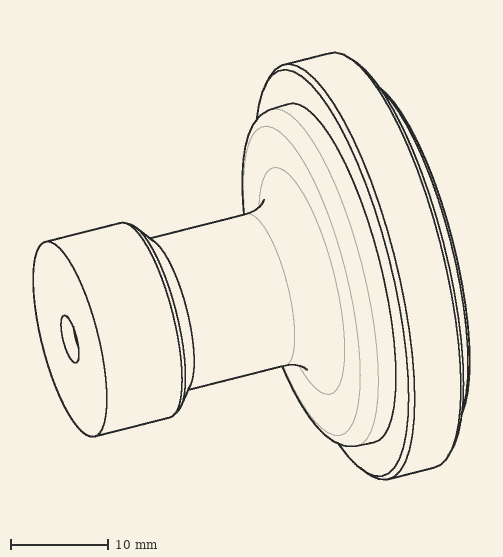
import cadquery as cq
import math

foot_rim_y = 8.3
cone_start_y = 8.8
neck_start_y = 10.55
collar_front_y = 25.6
disc_front_y = 28.95
disc_back_y = 35.02
dome_edge_y = 36.95
total_length = 38.3

foot_radius = 10.35
neck_radius = 8.05
collar_face_radius = 16.35
disc_radius = 22.0
dome_radius = 18.75

foot_rim_inset = 0.25
neck_fillet = 3.95
collar_fillet = 1.5
collar_draft_angle = 3.0
disc_chamfer = 0.5
dome_chamfer = 0.35

hole_mouth_radius = 2.5
hole_radius = 1.7
countersink_depth = 1.1
hole_depth = 5.3
drill_tip_angle = 118.0


def fillet_point(centre_x, centre_y, radius, angle_degrees):
    """Point on a corner arc at the given angle from +X."""
    angle = math.radians(angle_degrees)
    return (centre_x + radius * math.cos(angle), centre_y + radius * math.sin(angle))


def revolve_about_y(profile):
    return profile.close().revolve(360, (0, 0, 0), (0, 1, 0))


def make_body():
    neck_arc_x = neck_radius + neck_fillet
    neck_arc_y = collar_front_y - neck_fillet
    collar_arc_y = collar_front_y + collar_fillet
    collar_wall_x, collar_wall_y = fillet_point(
        collar_face_radius, collar_arc_y, collar_fillet, -collar_draft_angle
    )
    collar_draft = math.tan(math.radians(collar_draft_angle))
    collar_root_radius = collar_wall_x + (disc_front_y - collar_wall_y) * collar_draft
    cap_radius = dome_radius - dome_chamfer
    cap_height = total_length - dome_edge_y
    sphere_radius = (cap_radius**2 + cap_height**2) / (2 * cap_height)
    mid_x = cap_radius / 2
    mid_y = total_length - sphere_radius + math.sqrt(sphere_radius**2 - mid_x**2)
    profile = (
        cq.Workplane("XY")
        .lineTo(foot_radius, 0)
        .lineTo(foot_radius, foot_rim_y)
        .lineTo(foot_radius - foot_rim_inset, cone_start_y)
        .lineTo(neck_radius, neck_start_y)
        .lineTo(neck_radius, neck_arc_y)
        .threePointArc(
            fillet_point(neck_arc_x, neck_arc_y, neck_fillet, 135),
            (neck_arc_x, collar_front_y),
        )
        .lineTo(collar_face_radius, collar_front_y)
        .threePointArc(
            fillet_point(collar_face_radius, collar_arc_y, collar_fillet, -45),
            (collar_wall_x, collar_wall_y),
        )
        .lineTo(collar_root_radius, disc_front_y)
        .lineTo(disc_radius - disc_chamfer, disc_front_y)
        .lineTo(disc_radius, disc_front_y + disc_chamfer)
        .lineTo(disc_radius, disc_back_y - disc_chamfer)
        .lineTo(disc_radius - disc_chamfer, disc_back_y)
        .lineTo(dome_radius, disc_back_y)
        .lineTo(dome_radius, dome_edge_y - dome_chamfer)
        .lineTo(cap_radius, dome_edge_y)
        .threePointArc((mid_x, mid_y), (0, total_length))
    )
    return revolve_about_y(profile)


def make_hole():
    tip_length = hole_radius / math.tan(math.radians(drill_tip_angle / 2))
    profile = (
        cq.Workplane("XY")
        .lineTo(hole_mouth_radius, 0)
        .lineTo(hole_radius, countersink_depth)
        .lineTo(hole_radius, hole_depth)
        .lineTo(0, hole_depth + tip_length)
    )
    return revolve_about_y(profile)


result = make_body().cut(make_hole())